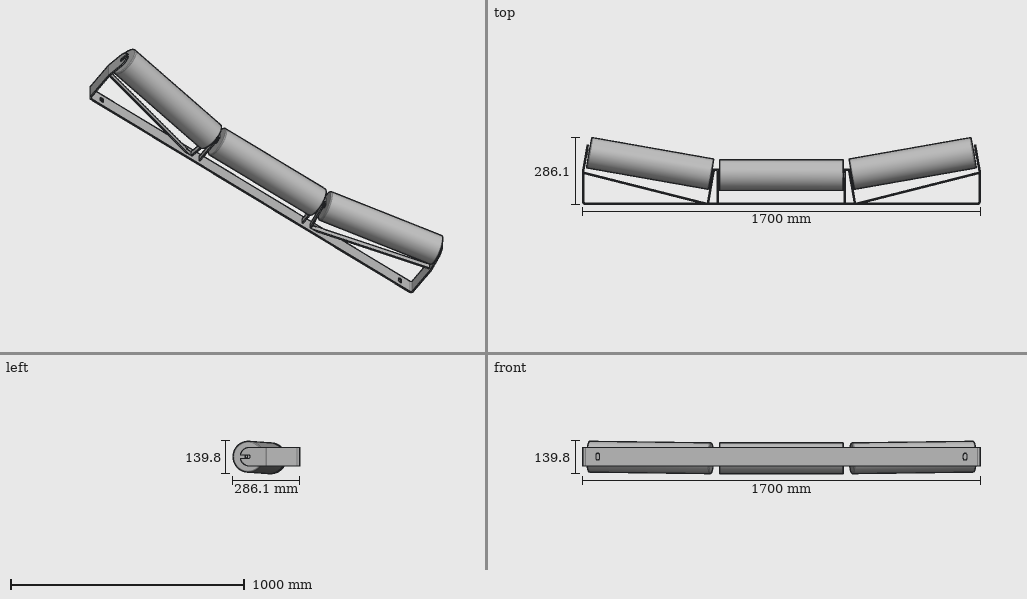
import cadquery as cq
import math

frame_length = 1700.0
strap_width = 80.0
strap_thickness = 6.0
inner_bend_radius = 6.0
outer_bend_radius = inner_bend_radius + strap_thickness
end_fold_y = 144.0
end_plate_length = 113.0

mounting_slot_x = 785.0
mounting_slot_width = 16.0
mounting_slot_length = 28.0

roller_diameter = 133.0
roller_length = 530.0
roller_edge_fillet = 4.0
shaft_width = 16.0
shaft_depth = 22.0
bracket_overhang = 8.0
end_plate_overhang = 13.0

trough_angle = 10.0
forward_drop = 6.83
middle_axis_y = 125.0
outer_end_x = 822.0
outer_end_y = 221.21

bracket_inner_x = 268.5
bracket_width = 30.0
bracket_top_y = 151.0
bracket_foot_x = 317.0

brace_width = 30.0
brace_thickness = 6.0
brace_foot_x = 322.0
brace_top_y = 138.0

half_length = frame_length / 2
half_width = strap_width / 2
half_roller = roller_length / 2
trough = math.radians(trough_angle)
outer_center_x = outer_end_x - half_roller * math.cos(trough)
outer_center_y = outer_end_y - half_roller * math.sin(trough)
forward_angle = math.degrees(math.asin(forward_drop / roller_length))


def bar(points, width):
    """Bar with the given outline in XY, centred on Z = 0."""
    return cq.Workplane("XY", origin=(0, 0, -width / 2)).polyline(points).close().extrude(width)


def with_mirror_copy(shape):
    """The shape together with its mirror image about the YZ plane."""
    return shape.union(shape.mirror("YZ"))


def place_middle(shape):
    return shape.translate((0, middle_axis_y, -forward_drop))


def place_right(shape):
    """Tilt a shape on the X axis so that its outer end rises and moves up, as the right roller does."""
    tilted = shape.rotate((0, 0, 0), (0, 1, 0), -forward_angle).rotate((0, 0, 0), (0, 0, 1), trough_angle)
    return tilted.translate((outer_center_x, outer_center_y, -forward_drop / 2))



def make_shaft(left_overhang, right_overhang):
    start = -half_roller - left_overhang
    length = roller_length + left_overhang + right_overhang
    return cq.Workplane("YZ", origin=(start, 0, 0)).slot2D(shaft_depth, shaft_width).extrude(length)


def make_roller(shaft):
    drum = cq.Workplane("YZ", origin=(-half_roller, 0, 0)).circle(roller_diameter / 2).extrude(roller_length)
    return drum.edges().fillet(roller_edge_fillet).union(shaft)


middle_shaft = make_shaft(bracket_overhang, bracket_overhang)
outer_shaft = make_shaft(bracket_overhang, end_plate_overhang)
middle_roller = place_middle(make_roller(middle_shaft))
right_roller = place_right(make_roller(outer_shaft))
left_roller = right_roller.mirror("YZ")



def make_strap():
    across_x = strap_thickness * math.cos(trough)
    across_y = strap_thickness * math.sin(trough)
    tip_x = half_length - end_plate_length * math.sin(trough)
    tip_y = end_fold_y + end_plate_length * math.cos(trough)
    inner_x = half_length - strap_thickness
    outer_corner = (half_length, 0)
    outer_fold = (half_length, end_fold_y)
    inner_fold = (inner_x, end_fold_y - strap_thickness * math.tan(trough / 2))
    inner_corner = (inner_x, strap_thickness)

    right_half = [
        outer_corner,
        outer_fold,
        (tip_x, tip_y),
        (tip_x - across_x, tip_y - across_y),
        inner_fold,
        inner_corner,
    ]
    left_half = [(-x, y) for x, y in reversed(right_half)]
    strap = bar(right_half + left_half, strap_width)

    bends = [
        (outer_corner, outer_bend_radius),
        (outer_fold, outer_bend_radius),
        (inner_fold, inner_bend_radius),
        (inner_corner, inner_bend_radius),
    ]
    for (x, y), radius in bends:
        for side in (-1, 1):
            bend_edge = cq.selectors.NearestToPointSelector((side * x, y, 0))
            strap = strap.edges(bend_edge).fillet(radius)

    round_start_y = tip_y - half_width
    round_tip_outline = (
        cq.Workplane("YZ", origin=(-half_length, 0, 0))
        .moveTo(0, -half_width)
        .lineTo(round_start_y, -half_width)
        .threePointArc((tip_y, 0), (round_start_y, half_width))
        .lineTo(0, half_width)
        .close()
        .extrude(frame_length)
    )
    mounting_slots = (
        cq.Workplane("XZ")
        .pushPoints([(-mounting_slot_x, 0), (mounting_slot_x, 0)])
        .slot2D(mounting_slot_length, mounting_slot_width, 90)
        .extrude(-strap_thickness)
    )
    return strap.intersect(round_tip_outline).cut(mounting_slots)


def make_bracket():
    """Right bracket: an upright leg, a flat top and a leg that leans with the outer roller."""
    rise = bracket_top_y - strap_thickness
    inner_rise = rise - strap_thickness
    inner_foot_x = bracket_foot_x - strap_thickness / math.cos(trough)
    upright_back_x = bracket_inner_x + strap_thickness
    outline = [
        (bracket_inner_x, strap_thickness),
        (bracket_inner_x, bracket_top_y),
        (bracket_foot_x - rise * math.tan(trough), bracket_top_y),
        (bracket_foot_x, strap_thickness),
        (inner_foot_x, strap_thickness),
        (inner_foot_x - inner_rise * math.tan(trough), bracket_top_y - strap_thickness),
        (upright_back_x, bracket_top_y - strap_thickness),
        (upright_back_x, strap_thickness),
    ]
    return bar(outline, bracket_width)


def make_brace():
    """Right brace: from the strap up to the inner face of the end."""
    end_x = half_length - strap_thickness
    slope = math.atan2(brace_top_y - strap_thickness, end_x - brace_foot_x)
    outline = [
        (brace_foot_x, strap_thickness),
        (end_x, brace_top_y),
        (end_x, brace_top_y - brace_thickness / math.cos(slope)),
        (brace_foot_x + brace_thickness / math.sin(slope), strap_thickness),
    ]
    return bar(outline, brace_width)


def make_end_slot():
    """Slot that lets the shaft drop into the right end plate from its tip."""
    slot_height = end_plate_length
    mouth = cq.Workplane("XY").box(2 * end_plate_overhang, slot_height, shaft_width)
    mouth = mouth.translate((half_roller + end_plate_overhang, slot_height / 2, 0))
    return place_right(mouth.union(outer_shaft))


def make_frame():
    frame = make_strap().union(with_mirror_copy(make_bracket())).union(with_mirror_copy(make_brace()))
    end_slot = make_end_slot()
    frame = frame.cut(end_slot).cut(end_slot.mirror("YZ"))
    return frame.cut(place_middle(middle_shaft))


frame = make_frame()

result = cq.Compound.makeCompound(
    [frame.val(), left_roller.val(), middle_roller.val(), right_roller.val()]
)